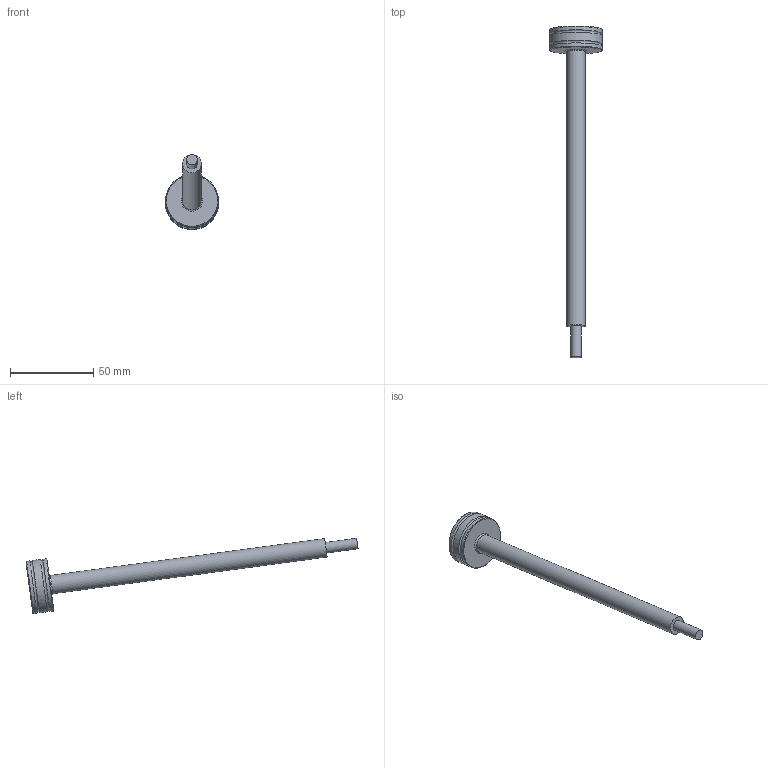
import cadquery as cq

HEAD_DIAMETER = 31.75
HEAD_THICKNESS = 12.7
HEAD_EDGE_CHAMFER = 0.4

GROOVE_WIDTH = 1.59
GROOVE_LAND = 2.38

ROD_DIAMETER = 11.11
ROD_ROOT_FILLET = 0.79
PIN_DIAMETER = 6.35
PIN_LENGTH = 19.05
OVERALL_LENGTH = 198.87
ROD_LENGTH = OVERALL_LENGTH - HEAD_THICKNESS - PIN_LENGTH

TILT_ANGLE = 7.655


def cylinder(diameter, length, start):
    """Cylinder along -Y that begins at the given distance from the head's rear face."""
    return cq.Workplane("XZ", origin=(0, -start, 0)).circle(diameter / 2).extrude(length)


def groove_cutter(distance):
    """Torus centred on the head's rim, at the given distance from the head's rear face."""
    torus = cq.Solid.makeTorus(
        HEAD_DIAMETER / 2,
        GROOVE_WIDTH / 2,
        cq.Vector(0, -distance, 0),
        cq.Vector(0, 1, 0),
    )
    return cq.Workplane(torus)


def make_head():
    head = cylinder(HEAD_DIAMETER, HEAD_THICKNESS, 0)
    head = head.faces("<Y or >Y").chamfer(HEAD_EDGE_CHAMFER)
    rear_groove = GROOVE_LAND + GROOVE_WIDTH / 2
    front_groove = HEAD_THICKNESS - rear_groove
    for distance in (rear_groove, front_groove):
        head = head.cut(groove_cutter(distance))
    return head


def make_rod():
    rod = cylinder(ROD_DIAMETER, ROD_LENGTH, HEAD_THICKNESS)
    pin = cylinder(PIN_DIAMETER, PIN_LENGTH, HEAD_THICKNESS + ROD_LENGTH)
    return rod.union(pin)


def add_root_fillet(body):
    """Round the corner where the rod meets the front face of the head."""
    reach = ROD_DIAMETER / 2 + ROD_ROOT_FILLET
    around_root = cq.selectors.BoxSelector(
        (-reach, -HEAD_THICKNESS - ROD_ROOT_FILLET, -reach),
        (reach, -HEAD_THICKNESS + ROD_ROOT_FILLET, reach),
        boundingbox=True,
    )
    return body.edges(around_root).fillet(ROD_ROOT_FILLET)


piston = add_root_fillet(make_head().union(make_rod()))
result = piston.rotate((0, 0, 0), (1, 0, 0), -TILT_ANGLE)